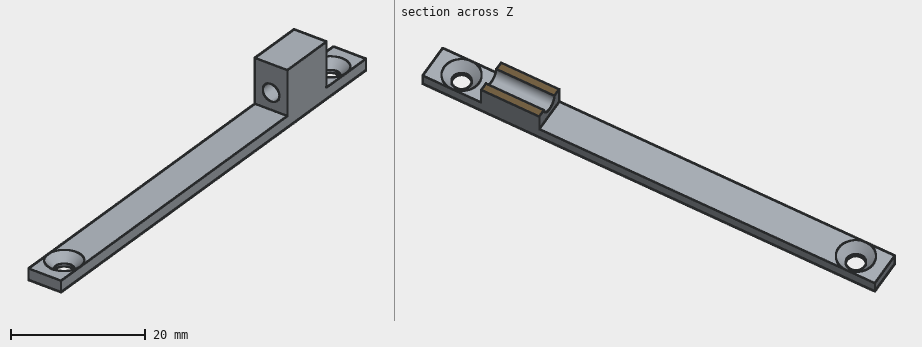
import cadquery as cq

length = 77.5
width = 6.0
plate_thickness = 2.0

total_height = 10.0
block_length = 10.0
block_end_gap = 10.0

hole_diameter = 3.0
sink_diameter = width
sink_angle = 90.0
screw_end_gap = 4.95
cross_hole_height = total_height / 2

block_center_y = length / 2 - block_end_gap - block_length / 2
screw_y = length / 2 - screw_end_gap

bar = cq.Workplane("XY").box(width, length, plate_thickness, centered=(True, True, False))

block = (
    cq.Workplane("XY")
    .center(0, block_center_y)
    .box(width, block_length, total_height, centered=(True, True, False))
)

bar = (
    bar.faces(">Z")
    .workplane()
    .pushPoints([(0, screw_y), (0, -screw_y)])
    .cskHole(hole_diameter, sink_diameter, sink_angle)
)

cross_hole = (
    cq.Workplane("XZ", origin=(0, block_center_y, cross_hole_height))
    .circle(hole_diameter / 2)
    .extrude(block_length, both=True)
)

result = bar.union(block).cut(cross_hole)